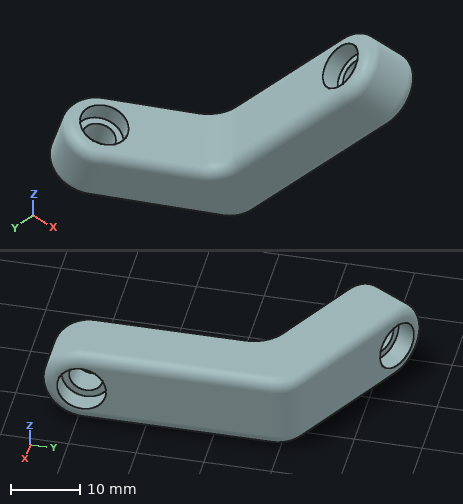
import cadquery as cq
import math

height = 12.0
width = 10.0
straight_length = 27.9
angled_length = 19.9
bend_angle = 60
bend_radius = 5.0
edge_radius = 2.0
bore_diameter = 5.0
counterbore_diameter = 7.2
counterbore_depth = 3.0

end_radius = height / 2
selection_margin = 0.5


def arm(length):
    """Arm running from the bend at the origin toward -Y, with a rounded end."""
    half_height = height / 2
    return (
        cq.Workplane("YZ")
        .moveTo(-length, -half_height)
        .lineTo(2 * width, -half_height)
        .lineTo(2 * width, half_height)
        .lineTo(-length, half_height)
        .threePointArc((-length - end_radius, 0), (-length, -half_height))
        .close()
        .extrude(width / 2, both=True)
    )


def turn_to_angled(body):
    """Mirror a -Y feature across the bisecting plane of the bend."""
    return body.mirror("XZ").rotate((0, 0, 0), (0, 0, 1), bend_angle)


def half_space(side):
    """Large block on one side of the plane bisecting the bend (side -1: straight arm)."""
    size = 4 * (straight_length + angled_length)
    block = cq.Workplane("XY").box(size, size, size).translate((0, side * size / 2, 0))
    return block.rotate((0, 0, 0), (0, 0, 1), bend_angle / 2)


def hole(length):
    """Bore through the end of the -Y arm, counterbored from both sides."""
    axis = cq.Workplane("YZ").center(-length, 0)
    bore = axis.circle(bore_diameter / 2).extrude(width, both=True)
    counterbores = axis.circle(counterbore_diameter / 2).extrude(width, both=True)
    web_half = width / 2 - counterbore_depth
    web = axis.rect(height, height).extrude(web_half, both=True)
    return counterbores.cut(web).union(bore)


straight_arm = arm(straight_length).intersect(half_space(-1))
angled_arm = turn_to_angled(arm(angled_length)).intersect(half_space(1))
body = straight_arm.union(angled_arm)

corner_reach = width / 2 / math.cos(math.radians(bend_angle / 2))
bend_edges = cq.selectors.BoxSelector(
    (-corner_reach - selection_margin, -corner_reach, -selection_margin),
    (corner_reach + selection_margin, corner_reach, selection_margin),
)
body = body.edges("|Z").edges(bend_edges).fillet(bend_radius)
body = body.faces(">Z").edges().fillet(edge_radius)

body = body.cut(hole(straight_length))
body = body.cut(turn_to_angled(hole(angled_length)))

centre = body.val().BoundingBox().center
result = body.translate(centre * -1)